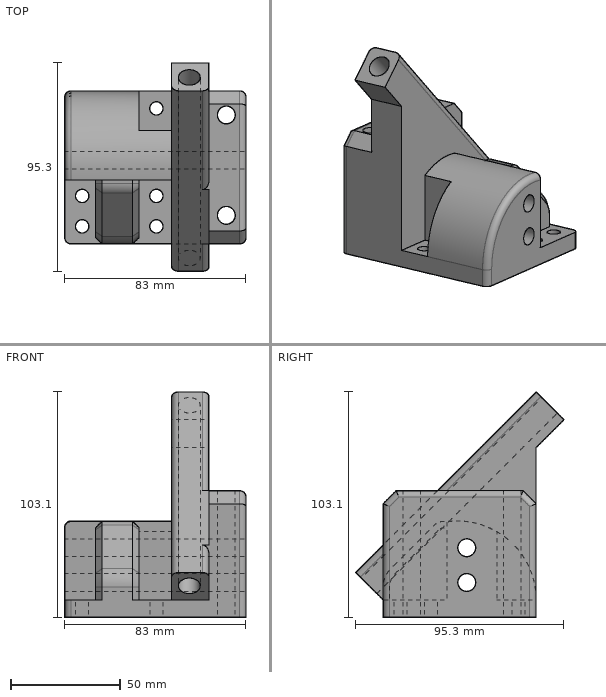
import cadquery as cq
import math

base_length = 83.0
base_width = 70.0
base_thickness = 8.0
edge_radius = 3.0
overall_height = 103.1
plan_depth = 95.3

wall_left = 48.9
wall_right = 66.0
slope_rise = overall_height - base_width
tube_overhang = (slope_rise - base_thickness) / 2
tube_drop = plan_depth - tube_overhang - base_width
left_edge_radius = 3.3
bore_diameter = 10.0
bore_x = 57.0
bore_depth = 8.7

block_height = 58.0
block_chamfer = 6.0
block_hole_x = 73.9
block_hole_ys = (13.1, 59.0)
large_hole_diameter = 8.0

housing_front = 29.2
housing_radius = 36.1
housing_center_y = base_width - housing_radius
cross_hole_y = 38.3
cross_hole_zs = (16.0, 31.9)

rib_left = 14.1
rib_right = 34.1
rib_top = 43.9
rib_slope_rise = 18.8
rib_chamfer = 3.0
rib_top_radius = 6.0
rib_toe_radius = 12.0

notch_depth = 18.0
small_hole_diameter = 6.0
small_hole_points = ((8.0, 8.0), (8.0, 22.0), (42.0, 8.0), (42.0, 22.0), (42.0, 62.0))


def box(x0, x1, y0, y1, z0, z1):
    return cq.Workplane("XY").box(x1 - x0, y1 - y0, z1 - z0, centered=False).translate((x0, y0, z0))


def side_plane(x):
    """Plane facing +X, with local axes Y and Z."""
    return cq.Workplane("YZ", origin=(x, 0, 0))


def make_base():
    plate = box(0, base_length, 0, base_width, 0, base_thickness)
    return plate.edges("|Z").fillet(edge_radius)


def make_wall():
    """Triangular wall and its overhanging tube, before edge rounding."""
    points = [
        (0, 0),
        (base_width, 0),
        (base_width, overall_height - 2 * tube_drop),
        (base_width + tube_drop, overall_height - tube_drop),
        (base_width, overall_height),
        (-tube_overhang, slope_rise - tube_overhang),
        (0, base_thickness),
    ]
    return side_plane(wall_left).polyline(points).close().extrude(wall_right - wall_left)


def round_slope(wall):
    """Round both long edges of the sloping face."""
    slope_middle = (base_width - tube_overhang) / 2
    for x, radius in ((wall_left, left_edge_radius), (wall_right, edge_radius)):
        edge = cq.selectors.NearestToPointSelector((x, slope_middle, slope_middle + slope_rise))
        wall = wall.edges(edge).fillet(radius)
    return wall


def make_block():
    """Tall block with chamfered ends and a rounded outer rim."""
    block = box(wall_right, base_length, 0, base_width, 0, block_height)
    block = block.faces(">Z").edges("|X").chamfer(block_chamfer)
    rim = block.faces(">X").edges("not <Z")
    return rim.fillet(edge_radius)


def make_housing():
    """Quarter-round housing with a rounded outer end and a square rear notch."""
    front_offset = housing_center_y - housing_front
    front_top = base_thickness + math.sqrt(housing_radius**2 - front_offset**2)
    middle = housing_radius * math.sqrt(0.5)
    housing = (
        side_plane(0)
        .moveTo(housing_front, 0)
        .lineTo(base_width, 0)
        .lineTo(base_width, base_thickness)
        .threePointArc(
            (housing_center_y + middle, base_thickness + middle),
            (housing_front, front_top),
        )
        .close()
        .extrude(wall_left)
    )
    outer_rim = housing.faces("<X").edges("not(<Z or <Y)")
    housing = outer_rim.fillet(edge_radius)
    notch = box(
        rib_right, wall_left, base_width - notch_depth, base_width, base_thickness, overall_height
    )
    return housing.cut(notch)


def make_rib():
    """Gusset with a 45 degree front, rounded bends and chamfered flanks."""
    profile = [
        (0, 0),
        (housing_front, 0),
        (housing_front, rib_top),
        (rib_top - rib_slope_rise, rib_top),
        (0, rib_slope_rise),
    ]
    rib = side_plane(rib_left).polyline(profile).close().extrude(rib_right - rib_left)
    bends = (
        (rib_top - rib_slope_rise, rib_top, rib_top_radius),
        (0, rib_slope_rise, rib_toe_radius),
    )
    rib_middle = (rib_left + rib_right) / 2
    for y, z, radius in bends:
        bend = cq.selectors.NearestToPointSelector((rib_middle, y, z))
        rib = rib.edges(bend).fillet(radius)
    flanks = rib.faces("<X or >X").edges("not(<Z or >Y)")
    rib = flanks.chamfer(rib_chamfer)
    return rib.intersect(box(rib_left, rib_right, 0, housing_front, base_thickness, rib_top))


def vertical_holes(points, diameter):
    return cq.Workplane("XY").pushPoints(points).circle(diameter / 2).extrude(overall_height)


def make_bore():
    """Bore through the full length of the tube, parallel to the slope."""
    direction = cq.Vector(0, 1, 1).normalized()
    inset = bore_depth / math.sqrt(2)
    start = cq.Vector(bore_x, inset - tube_overhang, slope_rise - tube_overhang - inset)
    length = (base_width + tube_overhang) * math.sqrt(2)
    return cq.Solid.makeCylinder(bore_diameter / 2, length, start, direction)


sharp_wall = make_wall()

sharp_stretch = sharp_wall.intersect(
    box(bore_x, wall_right, 0, base_width, base_thickness, block_height)
)

body = make_base().union(round_slope(sharp_wall)).union(sharp_stretch)
for feature in (make_block(), make_housing(), make_rib()):
    body = body.union(feature)

cross_holes = (
    side_plane(0)
    .pushPoints([(cross_hole_y, z) for z in cross_hole_zs])
    .circle(large_hole_diameter / 2)
    .extrude(base_length)
)
block_holes = vertical_holes([(block_hole_x, y) for y in block_hole_ys], large_hole_diameter)
plate_holes = vertical_holes(small_hole_points, small_hole_diameter)

result = body.cut(cross_holes).cut(block_holes).cut(plate_holes).cut(make_bore())